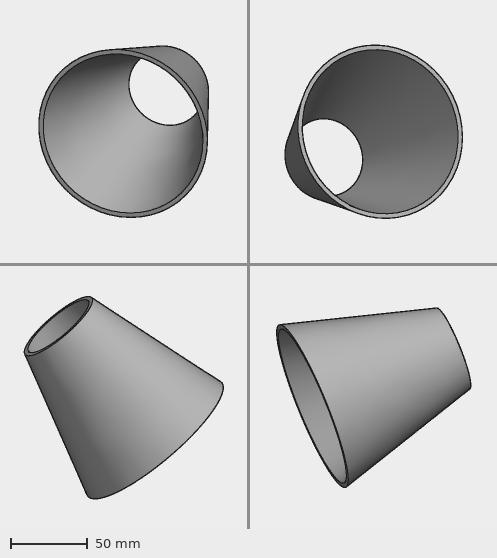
import cadquery as cq

length = 100.0
large_diameter = 114.3
small_diameter = 57.0
wall = 3.1

large_radius = large_diameter / 2
small_radius = small_diameter / 2

wall_section = cq.Workplane("XY").polyline([
    (large_radius - wall, 0),
    (large_radius, 0),
    (small_radius, length),
    (small_radius - wall, length),
]).close()

result = wall_section.revolve(360, (0, 0, 0), (0, 1, 0))